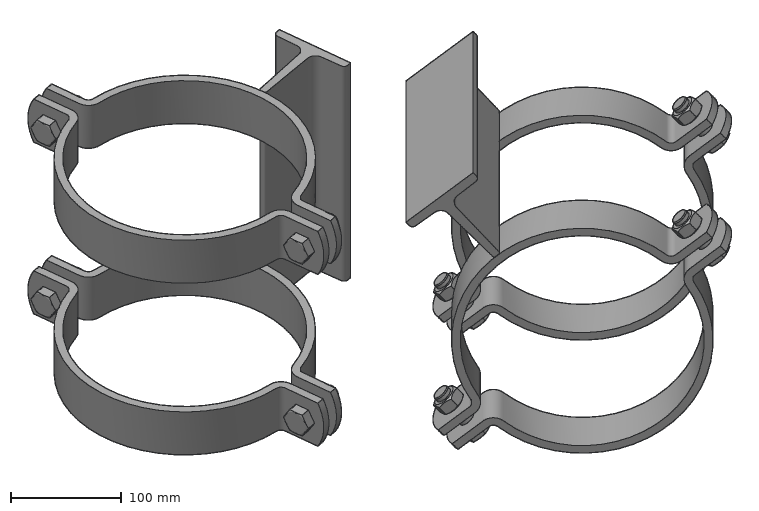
import cadquery as cq
import math

OUTER_SPAN = 332.0
BAND_OUTER_DIAMETER = 236.0
BAND_OUTER_RADIUS = BAND_OUTER_DIAMETER / 2
BAND_THICKNESS = 8.0
BAND_INNER_RADIUS = BAND_OUTER_RADIUS - BAND_THICKNESS
BAND_HEIGHT = 50.0
LUG_GAP = 11.3
BEND_RADIUS = 6.3
LUG_END_RADIUS = BAND_HEIGHT

BAR_LENGTH = 250.0
TEE_SIZE = 80.0
FLANGE_THICKNESS = 9.0
WEB_THICKNESS = 9.0
TEE_SLOPE = 0.02
ROOT_RADIUS = 9.0
TOE_RADIUS = 4.3
WEB_END_RADIUS = 2.0

BOLT_X = 141.8
BOLT_DIAMETER = 16.0
BOLT_TIP_DIAMETER = 15.0
BOLT_TIP_LENGTH = 1.3
BOLT_PROTRUSION = 5.0
HEX_ACROSS_FLATS = 24.2
HEAD_FACE_DIAMETER = 23.2
NUT_FACE_DIAMETER = 22.0
HEAD_CHAMFER = 0.5
NUT_CHAMFER = 2.0
HEAD_HEIGHT = 10.0
NUT_HEIGHT = 13.0

HALF_GAP = LUG_GAP / 2
LUG_OUTER_Y = HALF_GAP + BAND_THICKNESS
CLAMP_Z = (BAR_LENGTH - BAND_HEIGHT) / 2


def make_half_band():
    """Rear half (+Y): a half ring bent outwards into a flat lug at each side."""
    bend_y = LUG_OUTER_Y + BEND_RADIUS
    bend_x = math.sqrt((BAND_OUTER_RADIUS + BEND_RADIUS) ** 2 - bend_y**2)
    ring_angle = math.atan2(bend_y, bend_x)
    mid_angle = (ring_angle + math.pi + 1.5 * math.pi) / 2

    def on_ring(radius, side):
        return (side * radius * math.cos(ring_angle), radius * math.sin(ring_angle))

    def on_bend(radius, side):
        x = bend_x + radius * math.cos(mid_angle)
        return (side * x, bend_y + radius * math.sin(mid_angle))

    outer_bend = BEND_RADIUS + BAND_THICKNESS
    half_span = OUTER_SPAN / 2
    strip = (
        cq.Workplane("XY", origin=(0, 0, -BAND_HEIGHT / 2))
        .moveTo(half_span, HALF_GAP)
        .lineTo(bend_x, HALF_GAP)
        .threePointArc(on_bend(outer_bend, 1), on_ring(BAND_INNER_RADIUS, 1))
        .threePointArc((0, BAND_INNER_RADIUS), on_ring(BAND_INNER_RADIUS, -1))
        .threePointArc(on_bend(outer_bend, -1), (-bend_x, HALF_GAP))
        .lineTo(-half_span, HALF_GAP)
        .lineTo(-half_span, LUG_OUTER_Y)
        .lineTo(-bend_x, LUG_OUTER_Y)
        .threePointArc(on_bend(BEND_RADIUS, -1), on_ring(BAND_OUTER_RADIUS, -1))
        .threePointArc((0, BAND_OUTER_RADIUS), on_ring(BAND_OUTER_RADIUS, 1))
        .threePointArc(on_bend(BEND_RADIUS, 1), (bend_x, LUG_OUTER_Y))
        .lineTo(half_span, LUG_OUTER_Y)
        .close()
        .extrude(BAND_HEIGHT)
    )
    return strip.intersect(make_lug_outline())


def make_lug_outline():
    """Prism along Y whose ends round the lugs."""
    half_height = BAND_HEIGHT / 2
    half_span = OUTER_SPAN / 2
    corner_x = half_span - LUG_END_RADIUS + math.sqrt(LUG_END_RADIUS**2 - half_height**2)
    return (
        cq.Workplane("XZ")
        .moveTo(-corner_x, -half_height)
        .lineTo(corner_x, -half_height)
        .threePointArc((half_span, 0), (corner_x, half_height))
        .lineTo(-corner_x, half_height)
        .threePointArc((-half_span, 0), (-corner_x, -half_height))
        .close()
        .extrude(BAND_OUTER_RADIUS, both=True)
    )


def make_turned_hexagon(height, face_diameter, chamfer):
    """Hexagonal prism along +Y from Y = 0, with the corners at that end turned off to a cone."""
    corner_radius = HEX_ACROSS_FLATS / math.sqrt(3)
    prism = cq.Workplane("XZ").polygon(6, 2 * corner_radius).extrude(-height)
    envelope = (
        cq.Workplane("XY")
        .lineTo(face_diameter / 2, 0)
        .lineTo(corner_radius, chamfer)
        .lineTo(corner_radius, height)
        .lineTo(0, height)
        .close()
        .revolve(360, (0, 0), (0, 1))
    )
    return prism.intersect(envelope)


def make_head():
    head = make_turned_hexagon(HEAD_HEIGHT, HEAD_FACE_DIAMETER, HEAD_CHAMFER)
    return head.translate((0, -LUG_OUTER_Y - HEAD_HEIGHT, 0))


def make_nut():
    """Nut on the rear lug, turned at both ends: two mirrored halves."""
    front = make_turned_hexagon(NUT_HEIGHT / 2, NUT_FACE_DIAMETER, NUT_CHAMFER)
    rear = front.mirror("XZ").translate((0, NUT_HEIGHT, 0))
    return front.union(rear, clean=True).translate((0, LUG_OUTER_Y, 0))


def make_shank():
    """Round shank from the head, through both lugs and the nut, to a chamfered tip."""
    tip_y = LUG_OUTER_Y + NUT_HEIGHT + BOLT_PROTRUSION
    return (
        cq.Workplane("XY")
        .moveTo(0, -LUG_OUTER_Y)
        .lineTo(BOLT_DIAMETER / 2, -LUG_OUTER_Y)
        .lineTo(BOLT_DIAMETER / 2, tip_y - BOLT_TIP_LENGTH)
        .lineTo(BOLT_TIP_DIAMETER / 2, tip_y)
        .lineTo(0, tip_y)
        .close()
        .revolve(360, (0, 0), (0, 1))
    )


def make_clamp():
    """One clamp: two half bands joined into one body by their bolts and nuts."""
    rear_half = make_half_band()
    bolt = make_head().union(make_shank()).union(make_nut())
    clamp = rear_half.union(rear_half.mirror("XZ"))
    for side in (-1, 1):
        clamp = clamp.union(bolt.translate((side * BOLT_X, 0, 0)))
    return clamp


def make_tee_bar():
    """Rolled tee with sloping flange and web, its web end touching the rear of the clamps."""
    back_y = BAND_OUTER_RADIUS + TEE_SIZE
    half_width = TEE_SIZE / 2
    drop = TEE_SLOPE * TEE_SIZE / 4
    web_drop = TEE_SLOPE * TEE_SIZE / 2
    toe_y = back_y - FLANGE_THICKNESS + drop
    end_x = WEB_THICKNESS / 2 - web_drop
    root_x = WEB_THICKNESS / 2 + web_drop - TEE_SLOPE * FLANGE_THICKNESS
    root_y = toe_y - TEE_SLOPE * (half_width - root_x)
    bar = (
        cq.Workplane("XY", origin=(0, 0, -BAR_LENGTH / 2))
        .polyline([
            (-half_width, back_y),
            (-half_width, toe_y),
            (-root_x, root_y),
            (-end_x, BAND_OUTER_RADIUS),
            (end_x, BAND_OUTER_RADIUS),
            (root_x, root_y),
            (half_width, toe_y),
            (half_width, back_y),
        ])
        .close()
        .extrude(BAR_LENGTH)
    )

    def round_pair(body, x, y, radius):
        """Fillet the two edges along Z that pass through (x, y) and (-x, y)."""
        right_edge = cq.selectors.NearestToPointSelector((x, y, 0))
        left_edge = cq.selectors.NearestToPointSelector((-x, y, 0))
        return body.edges("|Z").edges(right_edge + left_edge).fillet(radius)

    bar = round_pair(bar, root_x, root_y, ROOT_RADIUS)
    bar = round_pair(bar, half_width, toe_y, TOE_RADIUS)
    return round_pair(bar, end_x, BAND_OUTER_RADIUS, WEB_END_RADIUS)


tee_bar = make_tee_bar()
clamps = [make_clamp().translate((0, 0, side * CLAMP_Z)) for side in (-1, 1)]
result = cq.Compound.makeCompound([tee_bar.val(), *[clamp.val() for clamp in clamps]])